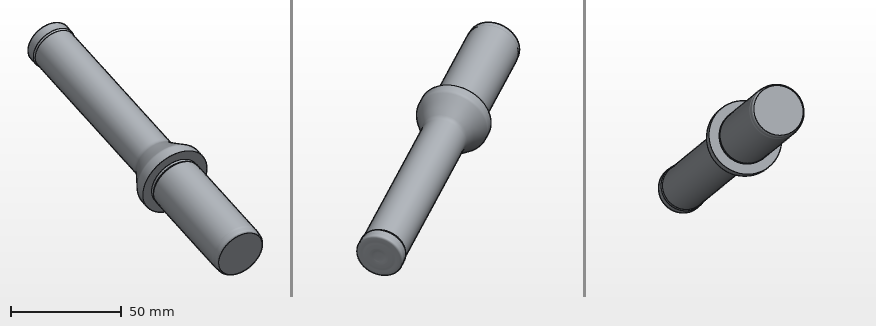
import cadquery as cq
import math

total_length = 166.0
tip_length = 6.6
flange_back = 109.7

tip_radius = 10.95
rim_depth = 0.5
rim_setback = 0.8
band_start = 2.6
band_end = 4.6
band_flank = 0.5
band_radius = 10.87
rear_land_radius = 10.9
tip_taper_length = 1.0

front_corners = [
    (1.25, 0.52),
    (2.10, 0.46),
    (2.65, 0.38),
    (3.45, 0.16),
    (4.40, 0.0),
    (5.40, 0.01),
    (6.50, 0.06),
    (7.65, 0.23),
    (8.85, 0.16),
    (9.60, 0.19),
]
corner_setback = 0.17

shank_radius = 10.5
flange_radius = 17.0
cone_root = 93.25
cone_rim = 104.75
cone_root_fillet = 5.0
cone_rim_fillet = 3.0

spigot_radius = 12.5
relief_radius = 12.25
relief_root_radius = 12.35
relief_root_length = 0.5
relief_end = 111.05
spigot_start = 111.7
spigot_end = 162.1
step_length = 1.0
end_round_start = 164.9
end_face_radius = 11.5


def point_toward(start, target, distance):
    """The point at a distance from start on the way to target."""
    share = distance / math.dist(start, target)
    return tuple(a + share * (b - a) for a, b in zip(start, target))


def revolve_about_axis(profile):
    return profile.close().revolve(360, (0, 0, 0), (1, 0, 0))


def draw_front_face(profile):
    """Straight slopes whose corners are blended by tangent arcs, from the axis to the rounded rim."""
    corners = [(depth, radius) for radius, depth in front_corners]
    rim = (rim_depth, tip_radius)
    path = [(corners[0][0], 0.0)] + corners + [rim]
    profile = profile.lineTo(*path[0])
    for before, corner, after in zip(path, path[1:], path[2:]):
        blend_start = point_toward(corner, before, corner_setback)
        blend_end = point_toward(corner, after, corner_setback)
        profile = profile.lineTo(*blend_start).tangentArcPoint(blend_end, relative=False)
    profile = profile.lineTo(*point_toward(rim, corners[-1], rim_setback))
    return profile.tangentArcPoint((rim_depth + rim_setback, tip_radius), relative=False)


def make_tip():
    profile = draw_front_face(cq.Workplane("XZ").moveTo(tip_length, 0))
    profile = (
        profile.lineTo(band_start, tip_radius)
        .lineTo(band_start + band_flank, band_radius)
        .lineTo(band_end - band_flank, band_radius)
        .lineTo(band_end, rear_land_radius)
        .lineTo(tip_length - tip_taper_length, rear_land_radius)
        .lineTo(tip_length, shank_radius)
    )
    return revolve_about_axis(profile)


def draw_shank_and_flange(profile):
    cone_angle = math.atan2(flange_radius - shank_radius, cone_rim - cone_root)
    root_blend = cone_root_fillet * math.tan(cone_angle / 2)
    rim_blend = cone_rim_fillet * math.tan(cone_angle / 2)
    root = (cone_root, shank_radius)
    rim = (cone_rim, flange_radius)
    return (
        profile.lineTo(tip_length, shank_radius)
        .lineTo(cone_root - root_blend, shank_radius)
        .tangentArcPoint(point_toward(root, rim, root_blend), relative=False)
        .lineTo(*point_toward(rim, root, rim_blend))
        .tangentArcPoint((cone_rim + rim_blend, flange_radius), relative=False)
        .lineTo(flange_back, flange_radius)
    )


def draw_spigot(profile):
    step_middle = (spigot_end + step_length / 2, (spigot_radius + relief_radius) / 2)
    return (
        profile.lineTo(flange_back, relief_root_radius)
        .lineTo(flange_back + relief_root_length, relief_radius)
        .lineTo(relief_end, relief_radius)
        .lineTo(spigot_start, spigot_radius)
        .lineTo(spigot_end, spigot_radius)
        .tangentArcPoint(step_middle, relative=False)
        .tangentArcPoint((spigot_end + step_length, relief_radius), relative=False)
        .lineTo(end_round_start, relief_radius)
        .tangentArcPoint((total_length, end_face_radius), relative=False)
        .lineTo(total_length, 0)
    )


def make_stem():
    profile = cq.Workplane("XZ").moveTo(tip_length, 0)
    return revolve_about_axis(draw_spigot(draw_shank_and_flange(profile)))


tip = make_tip()
stem = make_stem()
result = cq.Compound.makeCompound([tip.val(), stem.val()])